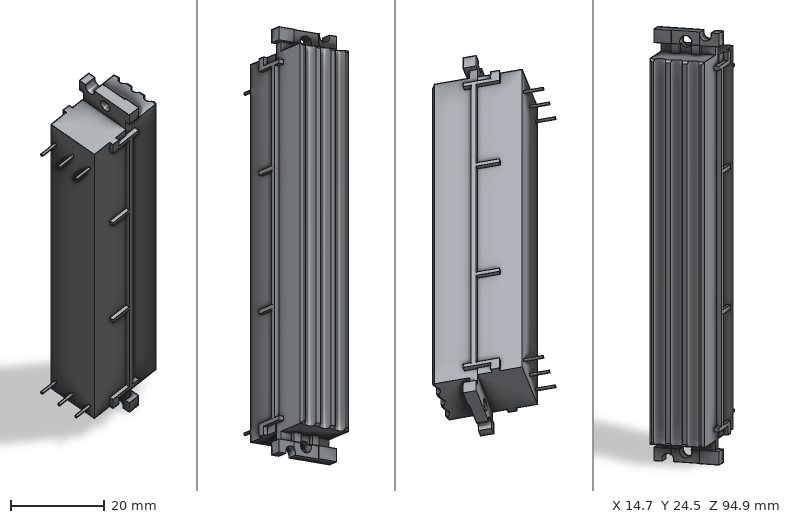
import cadquery as cq

OVERALL_LENGTH = 94.9
FLANGE_WIDTH = 14.7

SHELL_WIDTH = 12.3
SHELL_LENGTH = 84.8
SHELL_BACK_Y = 10.2
SHELL_CHAMFER = 0.6
GROOVE_RADIUS = 1.3
GROOVE_DEPTH = 1.2
GROOVE_PITCH = 3.8
GROOVE_COUNT = 3

BLOCK_WIDTH = 12.8
BLOCK_LENGTH = 84.3
BLOCK_FRONT_Y = -10.0

TAB_THICKNESS = 2.9
TAB_HEIGHT = 2.9
NECK_THICKNESS = 1.8
PAD_SPAN = 6.4
PAD_GAP = 2.8
TAB_RECESS_DEPTH = 0.3
HOLE_DIAMETER = 2.75
HOLE_X = 0.3
HOLE_EDGE_DISTANCE = 2.4
NOTCH_WIDTH = 2.6
NOTCH_DEPTH = 1.8
NOTCH_X = 4.3

RAIL_THICKNESS = 1.1
RIB_FRONT_Y = -5.1
RIB_HEIGHT = 0.95
RIB_CENTERS_Z = (16.6, -14.3)
CLIP_OUTER_Z = 40.2
CLIP_HOOK_DEPTH = 1.9

PIN_DIAMETER = 0.62
PIN_TIP_Y = -14.3
PIN_PITCH = 5.0
PIN_COLUMNS = 3
PIN_ROWS_Z = (36.8, -39.1)


def box(x_range, y_range, z_range):
    """Box spanning the given (low, high) ranges."""
    spans = (x_range, y_range, z_range)
    sizes = [high - low for low, high in spans]
    corner = tuple(low for low, high in spans)
    return cq.Workplane("XY").box(*sizes, centered=False).translate(corner)


def centered(size):
    return (-size / 2, size / 2)


def evenly_spaced(count, pitch):
    return [(i - (count - 1) / 2) * pitch for i in range(count)]


def rod_y(x, z, diameter, y_range):
    """Cylinder along Y."""
    start, end = y_range
    plane = cq.Workplane("XZ", origin=(x, start, z))
    return plane.circle(diameter / 2).extrude(start - end)


def make_shell():
    shell = box(centered(SHELL_WIDTH), (0, SHELL_BACK_Y), centered(SHELL_LENGTH))
    shell = shell.faces(">Y").chamfer(SHELL_CHAMFER)
    groove_y = SHELL_BACK_Y - GROOVE_DEPTH + GROOVE_RADIUS
    for x in evenly_spaced(GROOVE_COUNT, GROOVE_PITCH):
        profile = cq.Workplane("XY", origin=(x, groove_y, -SHELL_LENGTH / 2))
        shell = shell.cut(profile.circle(GROOVE_RADIUS).extrude(SHELL_LENGTH))
    return shell


def make_tab(notch_x):
    """Tab for the upper end, with its edge notch at notch_x."""
    top = OVERALL_LENGTH / 2
    shoulder = top - TAB_HEIGHT
    neck_z = (SHELL_LENGTH / 2, shoulder)
    thickness = (0, TAB_THICKNESS)
    pad_span = (HOLE_X - PAD_SPAN / 2, HOLE_X + PAD_SPAN / 2)
    pad_gap = (HOLE_X - PAD_GAP / 2, HOLE_X + PAD_GAP / 2)

    tab = box(centered(FLANGE_WIDTH), thickness, (shoulder, top))
    tab = tab.cut(box(pad_span, (TAB_THICKNESS - TAB_RECESS_DEPTH, TAB_THICKNESS), (shoulder, top)))

    tab = tab.union(box(centered(SHELL_WIDTH), (0, NECK_THICKNESS), neck_z))
    pads = box(pad_span, (NECK_THICKNESS, TAB_THICKNESS), neck_z)
    pads = pads.cut(box(pad_gap, (NECK_THICKNESS, TAB_THICKNESS), neck_z))
    tab = tab.union(pads)
    tab = tab.cut(rod_y(HOLE_X, top - HOLE_EDGE_DISTANCE, HOLE_DIAMETER, thickness))

    notch_z = top - NOTCH_DEPTH + NOTCH_WIDTH / 2
    notch_sides = (notch_x - NOTCH_WIDTH / 2, notch_x + NOTCH_WIDTH / 2)
    tab = tab.cut(rod_y(notch_x, notch_z, NOTCH_WIDTH, thickness))
    return tab.cut(box(notch_sides, thickness, (notch_z, top)))


def make_side_features():
    """Rails, ribs and hooked clips, running through to both long sides."""
    width = centered(FLANGE_WIDTH)
    clip_inner_z = CLIP_OUTER_Z - RIB_HEIGHT
    features = box(width, (0, RAIL_THICKNESS), (-clip_inner_z, clip_inner_z))
    for z in RIB_CENTERS_Z:
        rib = box(width, (RIB_FRONT_Y, 0), (z - RIB_HEIGHT / 2, z + RIB_HEIGHT / 2))
        features = features.union(rib)
    arm = box(width, (RIB_FRONT_Y, TAB_THICKNESS), (clip_inner_z, CLIP_OUTER_Z))
    hook = box(width, (RIB_FRONT_Y, RIB_FRONT_Y + CLIP_HOOK_DEPTH), (clip_inner_z, BLOCK_LENGTH / 2))
    clip = arm.union(hook)
    return features.union(clip).union(clip.mirror("XY"))


block = box(centered(BLOCK_WIDTH), (BLOCK_FRONT_Y, 0), centered(BLOCK_LENGTH))
upper_tab = make_tab(-NOTCH_X)
lower_tab = make_tab(NOTCH_X).mirror("XY")

result = make_shell().union(block).union(make_side_features())
result = result.union(upper_tab).union(lower_tab)
for row_z in PIN_ROWS_Z:
    for pin_x in evenly_spaced(PIN_COLUMNS, PIN_PITCH):
        result = result.union(rod_y(pin_x, row_z, PIN_DIAMETER, (PIN_TIP_Y, 0)))